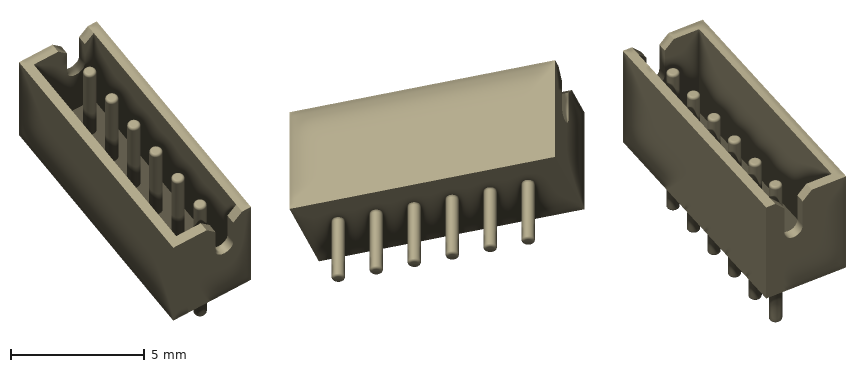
import cadquery as cq

length = 10.5
width = 3.5
height = 4.5
wall = 0.4
floor_thickness = wall

slot_width = 0.8
slot_depth = 2.0
slot_chamfer = 0.4
slot_offset = 1.2

pin_count = 6
pin_pitch = 1.5
pin_diameter = 0.5
pin_offset = 1.3
pin_below = 2.7
pin_recess = 0.48
pin_end_round = 0.1

slot_y = width / 2 - slot_offset
pin_y = width / 2 - pin_offset
pin_length = height - pin_recess + pin_below
pin_positions = [
    ((i - (pin_count - 1) / 2) * pin_pitch, pin_y, -pin_below) for i in range(pin_count)
]


def make_slot_cutter():
    """Round-bottomed slot with a flared mouth, running the full length."""
    half = slot_width / 2
    mouth = half + slot_chamfer
    chamfer_z = height - slot_chamfer
    bottom_z = height - slot_depth
    arc_z = bottom_z + half
    return (
        cq.Workplane("YZ", origin=(-length / 2, slot_y, 0))
        .moveTo(-mouth, height)
        .lineTo(-half, chamfer_z)
        .lineTo(-half, arc_z)
        .threePointArc((0, bottom_z), (half, arc_z))
        .lineTo(half, chamfer_z)
        .lineTo(mouth, height)
        .close()
        .extrude(length)
    )


def make_housing():
    """Box with a cavity, end slots and a fitting hole for each pin."""
    body = cq.Workplane("XY").box(length, width, height, centered=(True, True, False))
    cavity = (
        cq.Workplane("XY", origin=(0, 0, floor_thickness))
        .rect(length - 2 * wall, width - 2 * wall)
        .extrude(height - floor_thickness)
    )
    body = body.cut(cavity).cut(make_slot_cutter())
    for position in pin_positions:
        body = body.cut(make_pin(position))
    return body


def make_pin(position):
    """Vertical pin with rounded ends; position is its bottom centre."""
    return (
        cq.Workplane("XY", origin=position)
        .circle(pin_diameter / 2)
        .extrude(pin_length)
        .faces(">Z").edges().fillet(pin_end_round)
        .faces("<Z").edges().fillet(pin_end_round)
    )


housing = make_housing()
pins = [make_pin(position) for position in pin_positions]

result = cq.Compound.makeCompound([housing.val(), *[pin.val() for pin in pins]])